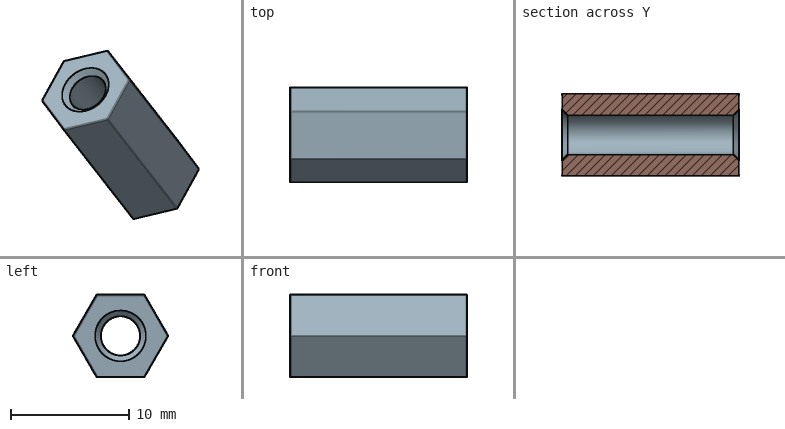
import cadquery as cq
import math

length = 15.0
side_count = 6
across_flats = 7.0
edge_radius = 0.1

bore_diameter = 3.3
countersink_depth = 0.5

across_corners = across_flats / math.cos(math.pi / side_count)


def hex_body():
    """Hexagonal bar centred on the origin, flats at +Z and -Z, corners at +Y and -Y."""
    bar = cq.Workplane("YZ").polygon(side_count, across_corners).extrude(length / 2, both=True)
    return bar.edges().fillet(edge_radius)


def bore_cutter():
    """Through bore with a conical entry at each end, revolved about the X axis."""
    half_length = length / 2
    bore_radius = bore_diameter / 2
    entry_radius = bore_radius + countersink_depth
    cone_start = half_length - countersink_depth
    profile = [
        (-half_length, 0),
        (-half_length, entry_radius),
        (-cone_start, bore_radius),
        (cone_start, bore_radius),
        (half_length, entry_radius),
        (half_length, 0),
    ]
    return cq.Workplane("XY").polyline(profile).close().revolve(360, (0, 0, 0), (1, 0, 0))


result = hex_body().cut(bore_cutter())